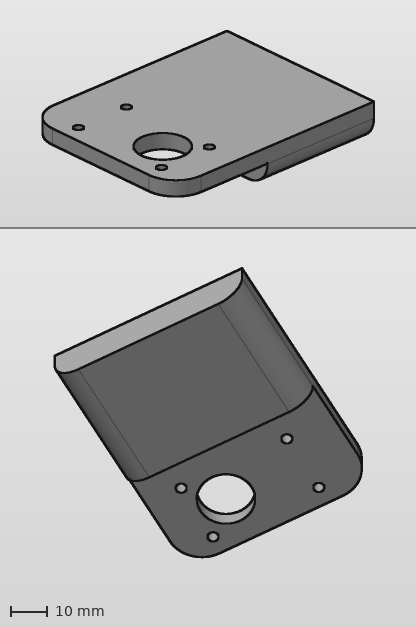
import cadquery as cq

width = 58.5
length = 75.0
height = 12.5

plate_thickness = 5.0
plate_corner_radius = 10.0

block_height = height - plate_thickness
block_length = 40.0
block_edge_radius = 7.4

bore_diameter = 16.0
bore_x = 9.2
bore_y = 14.55

screw_diameter = 3.0
screw_spacing_x = 33.0
screw_spacing_y = 18.0
screw_center_x = 1.7


def make_plate():
    return (
        cq.Workplane("XY")
        .box(width, length, plate_thickness, centered=(True, False, False))
        .edges("|Z and <Y")
        .fillet(plate_corner_radius)
    )


def make_block():
    return (
        cq.Workplane("XY")
        .box(width, block_length, block_height, centered=(True, False, False))
        .edges("|Y and <Z")
        .fillet(block_edge_radius)
        .translate((0, length - block_length, -block_height))
    )


def make_hole_cutters():
    bore = (
        cq.Workplane("XY")
        .center(bore_x, bore_y)
        .circle(bore_diameter / 2)
        .extrude(plate_thickness)
    )
    screws = (
        cq.Workplane("XY")
        .center(screw_center_x, bore_y)
        .rarray(screw_spacing_x, screw_spacing_y, 2, 2)
        .circle(screw_diameter / 2)
        .extrude(plate_thickness)
    )
    return bore.add(screws).combine()


result = make_plate().union(make_block()).cut(make_hole_cutters())